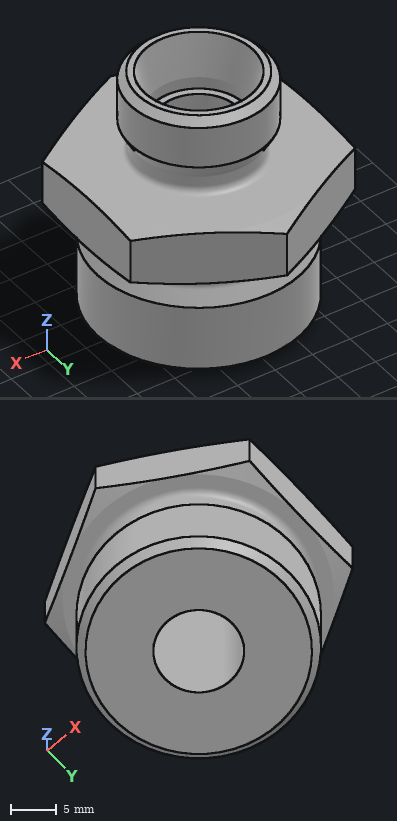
import cadquery as cq
import math

total_height = 32.0
hex_bottom = 14.0
hex_top = 21.0

corner_diameter = 34.65
across_flats = corner_diameter * math.cos(math.radians(30))
corner_chamfer_angle = 15

lower_diameter = 27.0
lower_neck_diameter = 24.7
upper_diameter = 18
upper_neck_diameter = 15.7
end_chamfer = 1.0
undercut_width = 4.55
undercut_slope = 30
undercut_fillet = 1.0

bore_diameter = 10.0
seat_diameter = 12.0
mouth_diameter = 14.3
seat_depth = 7.0
mouth_half_angle = 12


def revolve_profile(points):
    """Revolve a closed (radius, height) outline about the Z axis."""
    return cq.Workplane("XZ").polyline(points).close().revolve(360, (0, 0), (0, 1))


def threaded_end(diameter, neck_diameter, flange_z, end_z):
    """Stepped cylinder running from a flange face to a chamfered free end."""
    outward = math.copysign(1, end_z - flange_z)
    radius = diameter / 2
    neck_radius = neck_diameter / 2
    neck_fillet_radius = neck_radius + undercut_fillet
    runout_length = (radius - neck_radius) / math.tan(math.radians(undercut_slope))
    runout_z = flange_z + outward * undercut_width
    neck_z = runout_z - outward * runout_length

    half_slope = math.radians(undercut_slope / 2)
    tangent = undercut_fillet * math.tan(half_slope)
    slope = math.radians(undercut_slope)
    cone_tangent_point = (
        neck_radius + tangent * math.sin(slope),
        neck_z + outward * tangent * math.cos(slope),
    )
    bend_sagitta = undercut_fillet * (1 - math.cos(half_slope))
    bend_middle = (
        neck_radius + bend_sagitta,
        neck_z - outward * (tangent - undercut_fillet * math.sin(half_slope)),
    )
    corner_offset = undercut_fillet * (1 - math.sqrt(0.5))

    return (
        cq.Workplane("XZ")
        .moveTo(0, flange_z)
        .lineTo(neck_fillet_radius, flange_z)
        .threePointArc(
            (neck_radius + corner_offset, flange_z + outward * corner_offset),
            (neck_radius, flange_z + outward * undercut_fillet),
        )
        .lineTo(neck_radius, neck_z - outward * tangent)
        .threePointArc(bend_middle, cone_tangent_point)
        .lineTo(radius, runout_z)
        .lineTo(radius, end_z - outward * end_chamfer)
        .lineTo(radius - end_chamfer, end_z)
        .lineTo(0, end_z)
        .close()
        .revolve(360, (0, 0), (0, 1))
    )


def hex_flange():
    """Hexagon whose corners are turned down conically on both faces."""
    prism = (
        cq.Workplane("XY", origin=(0, 0, hex_bottom))
        .polygon(6, corner_diameter)
        .extrude(hex_top - hex_bottom)
        .rotate((0, 0, 0), (0, 0, 1), 90)
    )
    flat_radius = across_flats / 2
    corner_radius = corner_diameter / 2
    corner_drop = (corner_radius - flat_radius) * math.tan(math.radians(corner_chamfer_angle))
    turned_envelope = revolve_profile([
        (0, hex_bottom),
        (flat_radius, hex_bottom),
        (corner_radius, hex_bottom + corner_drop),
        (corner_radius, hex_top - corner_drop),
        (flat_radius, hex_top),
        (0, hex_top),
    ])
    return prism.intersect(turned_envelope)


def bore():
    """Through bore, flat-bottomed seat and conical mouth."""
    mouth_depth = (mouth_diameter - seat_diameter) / 2 / math.tan(math.radians(mouth_half_angle))
    return revolve_profile([
        (0, 0),
        (bore_diameter / 2, 0),
        (bore_diameter / 2, total_height - seat_depth),
        (seat_diameter / 2, total_height - seat_depth),
        (seat_diameter / 2, total_height - mouth_depth),
        (mouth_diameter / 2, total_height),
        (0, total_height),
    ])


lower_end = threaded_end(lower_diameter, lower_neck_diameter, hex_bottom, 0)
upper_end = threaded_end(upper_diameter, upper_neck_diameter, hex_top, total_height)
result = hex_flange().union(lower_end).union(upper_end).cut(bore())